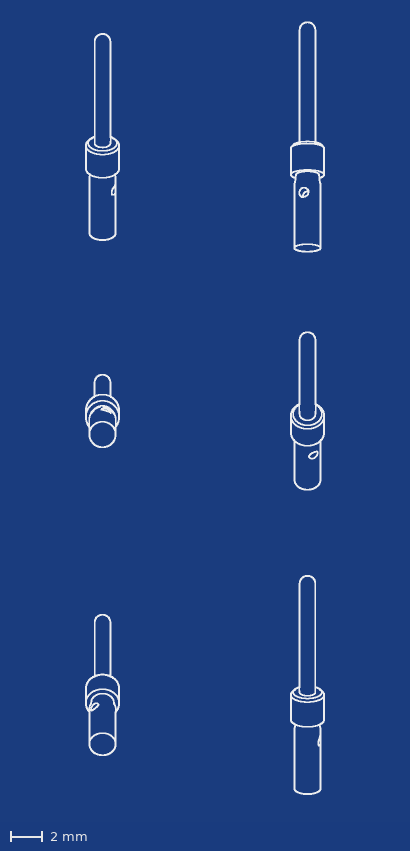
import cadquery as cq

total_length = 14.8
barrel_top = 4.15
neck_bottom = 4.66
collar_bottom = 4.81
collar_top = 6.72

barrel_radius = 1.66 / 2
neck_radius = 1.45 / 2
collar_radius = 2.1 / 2
pin_radius = 1.0 / 2

bevel_width = 0.15
bevel_height = 0.18

inspection_diameter = 0.6
inspection_height = 3.42


def turned_body():
    """Revolve the stepped half profile: barrel, neck, collar and round-tipped pin."""
    tip_start = total_length - pin_radius
    tip_middle = pin_radius * 0.5 ** 0.5
    profile = (
        cq.Workplane("XZ")
        .moveTo(0, 0)
        .lineTo(barrel_radius, 0)
        .lineTo(barrel_radius, barrel_top)
        .lineTo(neck_radius, neck_bottom)
        .lineTo(neck_radius, collar_bottom)
        .lineTo(collar_radius, collar_bottom)
        .lineTo(collar_radius, collar_top - bevel_height)
        .lineTo(collar_radius - bevel_width, collar_top)
        .lineTo(pin_radius, collar_top)
        .lineTo(pin_radius, tip_start)
        .threePointArc((tip_middle, tip_start + tip_middle), (0, total_length))
        .close()
    )
    return profile.revolve(360, (0, 0, 0), (0, 1, 0))


def inspection_hole():
    """Cutter from the barrel axis out through its +X side."""
    return (
        cq.Workplane("YZ")
        .center(0, inspection_height)
        .circle(inspection_diameter / 2)
        .extrude(collar_radius)
    )


result = turned_body().cut(inspection_hole())